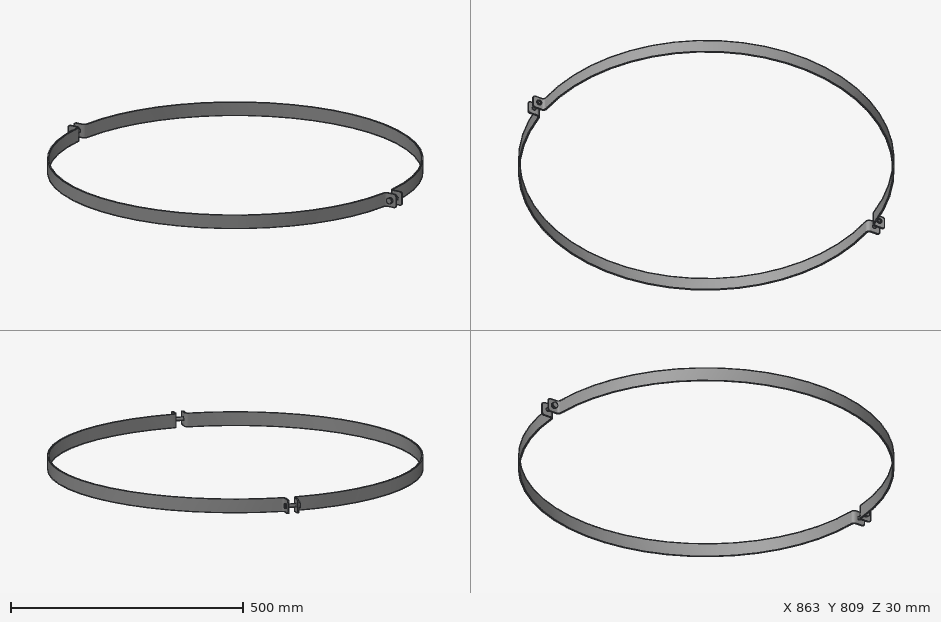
import cadquery as cq
import math

overall_length = 863.0
ring_diameter = 809.0
band_height = 30.0
band_thickness = 3.1

ears_outer_span = 25.0
bend_radius = 5.5
ear_corner_radius = 5.0
hole_diameter = 8.5
bolt_inset = 14.0

bolt_diameter = 8.0
head_diameter = 13.0
head_height = 6.0
nut_diameter = 11.0
nut_height = 3.0

ring_radius = ring_diameter / 2
inner_radius = ring_radius - band_thickness
ear_tip_x = overall_length / 2
bolt_x = ear_tip_x - bolt_inset
ear_outer_y = ears_outer_span / 2
ear_inner_y = ear_outer_y - band_thickness

bend_centre_y = ear_outer_y + bend_radius
bend_centre_x = math.sqrt((ring_radius + bend_radius) ** 2 - bend_centre_y**2)
bend_angle = math.atan2(bend_centre_y, bend_centre_x)
ring_side_angle = bend_angle + math.pi
ear_side_angle = 1.5 * math.pi
mid_bend_angle = (ring_side_angle + ear_side_angle) / 2


def ring_point(radius):
    """Point where the ring, at the given radius, runs into the bend."""
    return radius * math.cos(bend_angle), radius * math.sin(bend_angle)


def bend_middle(radius):
    """Middle of the bend arc with the given radius."""
    return (
        bend_centre_x + radius * math.cos(mid_bend_angle),
        bend_centre_y + radius * math.sin(mid_bend_angle),
    )


def mirrored(point):
    """The point on the -X half that matches one on the +X half."""
    return -point[0], point[1]


def make_half_band():
    """Half ring on the +Y side, with a drilled ear at both ends."""
    outer_bend = bend_middle(bend_radius)
    inner_bend = bend_middle(bend_radius + band_thickness)
    outer_end = ring_point(ring_radius)
    inner_end = ring_point(inner_radius)
    band = (
        cq.Workplane("XY", origin=(0, 0, -band_height / 2))
        .moveTo(ear_tip_x, ear_inner_y)
        .lineTo(ear_tip_x, ear_outer_y)
        .lineTo(bend_centre_x, ear_outer_y)
        .threePointArc(outer_bend, outer_end)
        .threePointArc((0, ring_radius), mirrored(outer_end))
        .threePointArc(mirrored(outer_bend), (-bend_centre_x, ear_outer_y))
        .lineTo(-ear_tip_x, ear_outer_y)
        .lineTo(-ear_tip_x, ear_inner_y)
        .lineTo(-bend_centre_x, ear_inner_y)
        .threePointArc(mirrored(inner_bend), mirrored(inner_end))
        .threePointArc((0, inner_radius), inner_end)
        .threePointArc(inner_bend, (bend_centre_x, ear_inner_y))
        .close()
        .extrude(band_height)
    )
    band = band.edges("|Y and (>X or <X)").fillet(ear_corner_radius)
    return band.cut(make_ear_holes())


def make_ear_holes():
    """Clearance holes for the bolts through both ears."""
    return (
        cq.Workplane("XZ", origin=(0, ear_inner_y, 0))
        .pushPoints([(-bolt_x, 0), (bolt_x, 0)])
        .circle(hole_diameter / 2)
        .extrude(-band_thickness)
    )


def make_bolt(x):
    """Bolt along Y, with its head on the -Y ear and its tip flush with the nut."""
    head = (
        cq.Workplane("XZ", origin=(x, -ear_outer_y, 0))
        .circle(head_diameter / 2)
        .extrude(head_height)
    )
    shank_length = ears_outer_span + nut_height
    shank = (
        cq.Workplane("XZ", origin=(x, -ear_outer_y, 0))
        .circle(bolt_diameter / 2)
        .extrude(-shank_length)
    )
    return head.union(shank)


def make_nut(x):
    """Round nut on the outer face of the +Y ear."""
    return (
        cq.Workplane("XZ", origin=(x, ear_outer_y, 0))
        .circle(nut_diameter / 2)
        .circle(bolt_diameter / 2)
        .extrude(-nut_height)
    )


back_band = make_half_band()
front_band = back_band.mirror("XZ")

bodies = [back_band.val(), front_band.val()]
for x in (-bolt_x, bolt_x):
    bodies.append(make_bolt(x).val())
    bodies.append(make_nut(x).val())

result = cq.Compound.makeCompound(bodies)